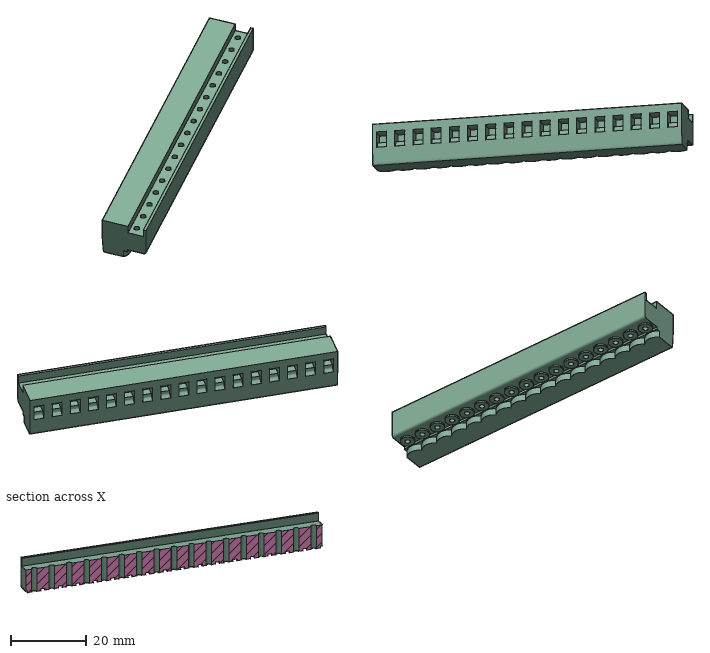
import cadquery as cq
import math

LENGTH = 85.0
DEPTH = 12.4
HEIGHT = 11.3

POLE_COUNT = 17
POLE_PITCH = LENGTH / POLE_COUNT

SHOULDER_X = 7.1
SHOULDER_Z = 2.0
OVERHANG_Z = 2.8
OVERHANG_RADIUS = 0.8
KINK_Z = 4.85
DRAFT_ANGLE = 4.0
CHANNEL_X = 7.3
CHANNEL_FLOOR_Z = 9.0
REAR_WALL = 0.8
TOE_BAND_HEIGHT = 0.25
TOE_ANGLES = (6.0, 10.0, 25.0)

FOOT_END_X = 6.0
SCALLOP_ROOT = 0.85

BORE_X = 8.9
BORE_DIAMETER = 1.45
COLLAR_DIAMETER = 3.9
COLLAR_HEIGHT = 0.5

WINDOW_WIDTH = 2.7
WINDOW_TOP_Z = 9.1
WINDOW_DEPTH = 3.4
CEILING_DEPTH = 1.3
CEILING_ANGLE = 13.0
FLOOR_DEPTH = 0.8
FLOOR_ANGLE = 26.0
RISER_ANGLE = 14.0
RISER_BLEND_RADIUS = 0.6
LEDGE_Z = 6.4

pole_ys = [(i - (POLE_COUNT - 1) / 2) * POLE_PITCH for i in range(POLE_COUNT)]


def tan_deg(angle):
    return math.tan(math.radians(angle))


def along_normal(angle, radius):
    """Offset into the wall from an arc centre, for a normal tilted up from -X by angle."""
    return (radius * math.cos(math.radians(angle)), -radius * math.sin(math.radians(angle)))


def extrude_along_y(sketch, width, center_y):
    """Extrude a closed XZ outline to the given width, centred on center_y."""
    return sketch.extrude(width / 2, both=True).translate((0, center_y, 0))


def toe_points():
    """Corners of the faceted toe, from the end of the drafted face down to the bottom."""
    z = TOE_BAND_HEIGHT * len(TOE_ANGLES)
    x = (KINK_Z - z) * tan_deg(DRAFT_ANGLE)
    points = [(x, z)]
    for angle in TOE_ANGLES:
        x += TOE_BAND_HEIGHT * tan_deg(angle)
        z -= TOE_BAND_HEIGHT
        points.append((x, z))
    return points


def make_housing():
    corner_arc_x = DEPTH - OVERHANG_RADIUS
    corner_arc_z = OVERHANG_Z + OVERHANG_RADIUS
    corner_reach = OVERHANG_RADIUS * math.sqrt(0.5)
    outline = (
        cq.Workplane("XZ")
        .polyline([(0, HEIGHT), (0, KINK_Z)] + toe_points())
        .lineTo(FOOT_END_X, 0)
        .lineTo(FOOT_END_X, SHOULDER_Z)
        .lineTo(SHOULDER_X, SHOULDER_Z)
        .lineTo(SHOULDER_X, OVERHANG_Z)
        .lineTo(corner_arc_x, OVERHANG_Z)
        .threePointArc(
            (corner_arc_x + corner_reach, corner_arc_z - corner_reach),
            (DEPTH, corner_arc_z),
        )
        .lineTo(DEPTH, HEIGHT)
        .lineTo(DEPTH - REAR_WALL, HEIGHT)
        .lineTo(DEPTH - REAR_WALL, CHANNEL_FLOOR_Z)
        .lineTo(CHANNEL_X, CHANNEL_FLOOR_Z)
        .lineTo(CHANNEL_X, HEIGHT)
        .close()
    )
    return extrude_along_y(outline, LENGTH, 0)


def make_scallops():
    """One shallow round bulge per pole on the +X side of the foot."""
    half = POLE_PITCH / 2
    scallops = cq.Workplane("XY").moveTo(FOOT_END_X, pole_ys[0] - half)
    for y in pole_ys:
        scallops = scallops.threePointArc((SHOULDER_X, y), (FOOT_END_X, y + half))
    inner_x = FOOT_END_X - SCALLOP_ROOT
    return (
        scallops.lineTo(inner_x, pole_ys[-1] + half)
        .lineTo(inner_x, pole_ys[0] - half)
        .close()
        .extrude(SHOULDER_Z)
    )


def make_window(center_y):
    """Wire entry: sloped sill, blended riser, ledge and a sloped lead-in ceiling."""
    sill_angle = 90 - FLOOR_ANGLE
    sill_z = KINK_Z + FLOOR_DEPTH * tan_deg(FLOOR_ANGLE)
    start_dx, start_dz = along_normal(sill_angle, RISER_BLEND_RADIUS)
    arc_x = FLOOR_DEPTH - start_dx
    arc_z = sill_z - start_dz
    mid_dx, mid_dz = along_normal((sill_angle + RISER_ANGLE) / 2, RISER_BLEND_RADIUS)
    end_dx, end_dz = along_normal(RISER_ANGLE, RISER_BLEND_RADIUS)
    blend_mid = (arc_x + mid_dx, arc_z + mid_dz)
    blend_end = (arc_x + end_dx, arc_z + end_dz)
    ledge_x = blend_end[0] + (LEDGE_Z - blend_end[1]) * tan_deg(RISER_ANGLE)
    ceiling_z = WINDOW_TOP_Z - CEILING_DEPTH * tan_deg(CEILING_ANGLE)
    sketch = (
        cq.Workplane("XZ")
        .moveTo(0, KINK_Z)
        .lineTo(FLOOR_DEPTH, sill_z)
        .threePointArc(blend_mid, blend_end)
        .lineTo(ledge_x, LEDGE_Z)
        .lineTo(WINDOW_DEPTH, LEDGE_Z)
        .lineTo(WINDOW_DEPTH, ceiling_z)
        .lineTo(CEILING_DEPTH, ceiling_z)
        .lineTo(0, WINDOW_TOP_Z)
        .close()
    )
    return extrude_along_y(sketch, WINDOW_WIDTH, center_y)


def make_collars():
    return (
        cq.Workplane("XY", origin=(0, 0, OVERHANG_Z - COLLAR_HEIGHT))
        .pushPoints([(BORE_X, y) for y in pole_ys])
        .circle(COLLAR_DIAMETER / 2)
        .extrude(COLLAR_HEIGHT)
    )


def make_bores():
    return (
        cq.Workplane("XY")
        .pushPoints([(BORE_X, y) for y in pole_ys])
        .circle(BORE_DIAMETER / 2)
        .extrude(HEIGHT)
    )


result = make_housing().union(make_scallops()).union(make_collars()).cut(make_bores())
for pole_y in pole_ys:
    result = result.cut(make_window(pole_y))